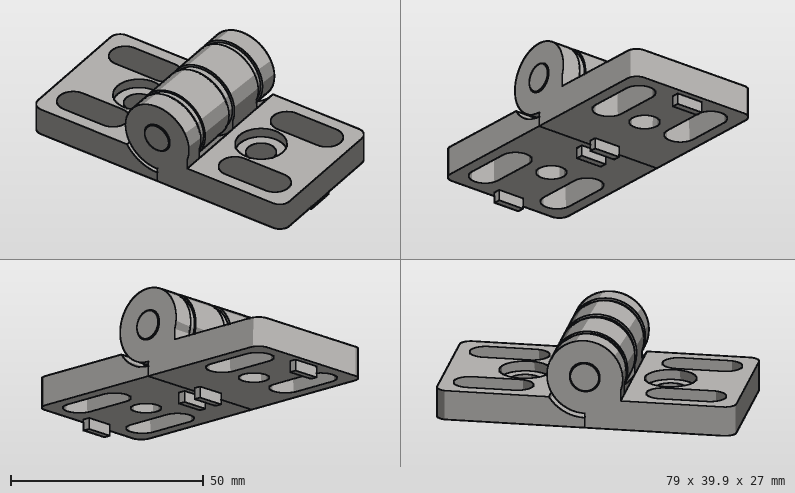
import cadquery as cq

leaf_reach = 39.5
leaf_width = 39.5
leaf_thickness = 8.0
corner_radius = 3.0
axis_height = 14.0

knuckle_diameter = 20.0
outer_knuckle_length = 5.5
inner_knuckle_length = 11.0
middle_space = 2.5
clearance_radius = 11.2

washer_diameter = 18.95
washer_play = 0.2

pin_diameter = 8.0
pin_protrusion = 0.2
pin_chamfer = 0.2

slot_length = 21.0
slot_width = 8.5
slot_x = 25.4
slot_y = 12.0
hole_diameter = 8.0
hole_x = 19.2
counterbore_diameter = 13.5
counterbore_depth = 2.7

lug_thickness = 2.0
lug_width = 8.0
lug_depth = 3.0
lug_inset = 2.8

leaf_end = leaf_width / 2
inner_start = middle_space / 2
inner_end = inner_start + inner_knuckle_length
outer_start = leaf_end - outer_knuckle_length
web_reach = washer_diameter / 2


def axial_cylinder(diameter, y_start, y_end):
    """Cylinder on the hinge axis between two Y positions."""
    return (
        cq.Workplane("XZ", origin=(0, y_start, axis_height))
        .circle(diameter / 2)
        .extrude(y_start - y_end)
    )


def span_box(x_start, x_end, y_start, y_end, z_start, z_end):
    """Box between two opposite corners."""
    return cq.Workplane("XY", origin=(x_start, y_start, z_start)).box(
        x_end - x_start, y_end - y_start, z_end - z_start, centered=False
    )


def plate():
    """Flat part of a leaf, with its two outer corners rounded."""
    blank = span_box(0, leaf_reach, -leaf_end, leaf_end, 0, leaf_thickness)
    return blank.edges("|Z and >X").fillet(corner_radius)


def knuckle(y_start, y_end):
    """Knuckle barrel with the web that joins it to the plate."""
    barrel = axial_cylinder(knuckle_diameter, y_start, y_end)
    web = span_box(0, web_reach, y_start, y_end, 0, axis_height)
    return barrel.union(web)


def add_lugs(leaf):
    """Add the two locating lugs below the plate."""
    for lug_x in (lug_inset, leaf_reach - lug_inset):
        lug = span_box(
            lug_x - lug_thickness / 2, lug_x + lug_thickness / 2,
            -lug_width / 2, lug_width / 2,
            -lug_depth, 0,
        )
        leaf = leaf.union(lug)
    return leaf


def cut_fixings(leaf):
    """Cut the two through slots and the counterbored hole."""
    slots = (
        cq.Workplane("XY")
        .pushPoints([(slot_x, -slot_y), (slot_x, slot_y)])
        .slot2D(slot_length, slot_width)
        .extrude(leaf_thickness)
    )
    hole = cq.Workplane("XY").center(hole_x, 0).circle(hole_diameter / 2).extrude(leaf_thickness)
    counterbore = (
        cq.Workplane("XY", origin=(hole_x, 0, leaf_thickness))
        .circle(counterbore_diameter / 2)
        .extrude(-counterbore_depth)
    )
    return leaf.cut(slots).cut(hole).cut(counterbore)


def hinge_leaf():
    """Leaf on the +X side: knuckles at the -Y end and just on the +Y side of the middle."""
    leaf = plate()
    leaf = leaf.cut(axial_cylinder(2 * clearance_radius, -leaf_end, leaf_end))
    leaf = leaf.union(knuckle(-leaf_end, -outer_start))
    leaf = leaf.union(knuckle(inner_start, inner_end))
    leaf = cut_fixings(add_lugs(leaf))
    return leaf.cut(axial_cylinder(pin_diameter, -leaf_end, leaf_end))


def washer(y_start, y_end):
    """Washer ring around the pin."""
    ring = axial_cylinder(washer_diameter, y_start, y_end)
    return ring.cut(axial_cylinder(pin_diameter, y_start, y_end))


def hinge_pin():
    """Pin through all knuckles, chamfered where it stands out at both ends."""
    pin_end = leaf_end + pin_protrusion
    pin = axial_cylinder(pin_diameter, -pin_end, pin_end)
    return pin.faces("<Y or >Y").chamfer(pin_chamfer)


right_leaf = hinge_leaf()
left_leaf = right_leaf.rotate((0, 0, 0), (0, 0, 1), 180)
pin = hinge_pin()

washer_spans = [
    (-outer_start + washer_play, -inner_end),
    (-inner_start + washer_play, inner_start - washer_play),
    (inner_end, outer_start - washer_play),
]
washers = [washer(y_start, y_end).val() for y_start, y_end in washer_spans]

result = cq.Compound.makeCompound([left_leaf.val(), right_leaf.val(), pin.val(), *washers])